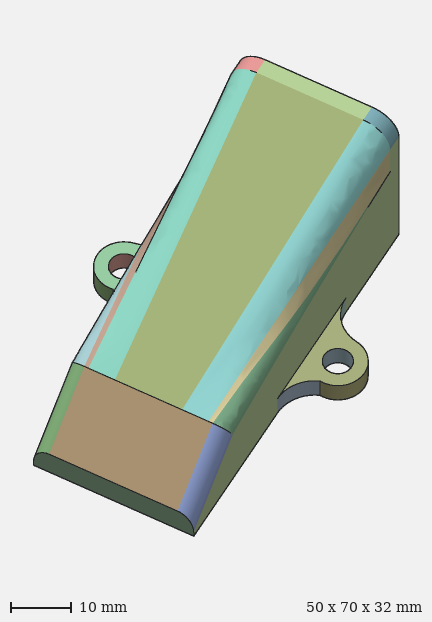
import cadquery as cq
import math

width = 30.0
length = 70.0
back_height = 32.0
back_corner_radius = 5.0
lip_length = 3.0
shoulder_height = 21.0
break_height = 15.0
nose_length = 12.0
nose_height = 5.0
edge_radius = 3.0

ear_offset = 20.0
ear_radius = 5.0
ear_thickness = 4.0
ear_hole_diameter = 5.1
ear_blend_radius = 7.0
front_blend_y = -11.45
ear_to_back = 30.0

half_width = width / 2
back_y = ear_to_back
lip_y = back_y - lip_length
front_y = back_y - length
break_y = front_y + nose_length


def arch_section():
    """Arch section with rounded top corners, with vertices at the shoulders."""
    flat_half = half_width - back_corner_radius
    arc_start = back_height - back_corner_radius
    return (
        cq.Workplane("XZ", origin=(0, lip_y, 0))
        .moveTo(-half_width, 0)
        .lineTo(half_width, 0)
        .lineTo(half_width, shoulder_height)
        .lineTo(half_width, arc_start)
        .radiusArc((flat_half, back_height), -back_corner_radius)
        .lineTo(-flat_half, back_height)
        .radiusArc((-half_width, arc_start), -back_corner_radius)
        .lineTo(-half_width, shoulder_height)
        .close()
    )


def break_section():
    """Rectangular section whose top is divided in proportion to the arch above the shoulders."""
    wall = back_height - back_corner_radius - shoulder_height
    arc = math.pi / 2 * back_corner_radius
    flat = width - 2 * back_corner_radius
    shrink = width / (2 * wall + 2 * arc + flat)
    wall_end = half_width - wall * shrink
    arc_end = wall_end - arc * shrink
    return (
        cq.Workplane("XZ", origin=(0, break_y, 0))
        .moveTo(-half_width, 0)
        .lineTo(half_width, 0)
        .lineTo(half_width, break_height)
        .lineTo(wall_end, break_height)
        .lineTo(arc_end, break_height)
        .lineTo(-arc_end, break_height)
        .lineTo(-wall_end, break_height)
        .lineTo(-half_width, break_height)
        .close()
    )


def make_lip():
    return arch_section().extrude(-lip_length)


def make_roof_and_nose():
    """Ruled roof from the arch to the break line, then the flat nose slope."""
    sections = [arch_section().val(), break_section().val()]
    roof = cq.Workplane(cq.Solid.makeLoft(sections, True))
    nose = (
        cq.Workplane("YZ", origin=(-half_width, 0, 0))
        .moveTo(break_y, 0)
        .lineTo(break_y, break_height)
        .lineTo(front_y, nose_height)
        .lineTo(front_y, 0)
        .close()
        .extrude(width)
    )
    return roof.union(nose)


def is_long_roof_edge(edge):
    start = edge.startPoint()
    end = edge.endPoint()
    tolerance = 1e-3
    on_wall = all(abs(abs(p.x) - half_width) < tolerance for p in (start, end))
    sloped = abs(start.z - end.z) > tolerance and abs(start.y - end.y) > tolerance
    return on_wall and sloped


def round_long_edges(body):
    solid = body.val()
    edges = [e for e in solid.Edges() if is_long_roof_edge(e)]
    return cq.Workplane(solid.fillet(edge_radius, edges))


def blend_touch(blend_x, blend_y):
    """Point nearest the wall where a blend circle centred at (blend_x, blend_y) meets the ear circle."""
    to_ear_x = ear_offset - blend_x
    to_ear_y = -blend_y
    distance = math.hypot(to_ear_x, to_ear_y)
    along = (ear_blend_radius**2 - ear_radius**2 + distance**2) / (2 * distance)
    across = math.sqrt(max(ear_blend_radius**2 - along**2, 0))
    unit_x = to_ear_x / distance
    unit_y = to_ear_y / distance
    turn = math.copysign(across, -blend_y)
    return (blend_x + along * unit_x - turn * unit_y, blend_y + along * unit_y + turn * unit_x)


def make_ear():
    """Ear on the +X side: a round lobe joined to the side wall by two concave blends."""
    blend_x = half_width + ear_blend_radius
    centre_distance = ear_radius + ear_blend_radius
    back_blend_y = math.sqrt(centre_distance**2 - (ear_offset - blend_x) ** 2)
    back_touch = blend_touch(blend_x, back_blend_y)
    front_touch = blend_touch(blend_x, front_blend_y)
    ear = (
        cq.Workplane("XY")
        .moveTo(half_width, front_blend_y)
        .radiusArc(front_touch, ear_blend_radius)
        .threePointArc((ear_offset + ear_radius, 0), back_touch)
        .radiusArc((half_width, back_blend_y), ear_blend_radius)
        .close()
        .extrude(ear_thickness)
    )
    hole = (
        cq.Workplane("XY")
        .center(ear_offset, 0)
        .circle(ear_hole_diameter / 2)
        .extrude(ear_thickness)
    )
    return ear.cut(hole)


housing = round_long_edges(make_roof_and_nose()).union(make_lip())
ear = make_ear()
result = housing.union(ear).union(ear.mirror("YZ"))